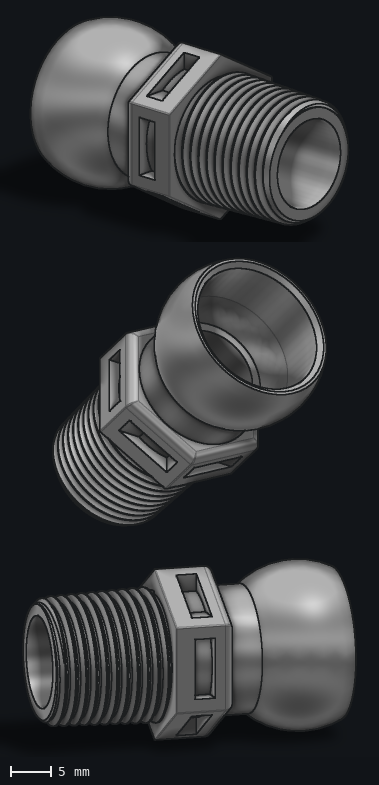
import cadquery as cq
import math


total_length = 38.3
ball_center_x = 4.7
hex_start_x = 15.78
hex_end_x = 23.35

ball_radius = 10.75
neck_radius = 8.15
ball_end_x = ball_center_x + math.sqrt(ball_radius**2 - neck_radius**2)

rim_radius = 9.25
rim_chamfer_length = 0.57
cavity_radius = 8.58
cavity_straight_end_x = 7.77
cavity_floor_radius = 6.95
bore_radius = 5.82

across_flats = 19.0
front_round = 1.2
corner_round = 0.23
back_round = 0.1

pocket_start_x = 18.25
pocket_width = 2.6
side_pocket_length = 7.65
corner_pocket_y = 1.23
corner_pocket_z = 6.3

core_start_x = 20.7
core_overrun = 2.3
root_radius_at_nut = 7.75
root_radius_at_end = 7.28
thread_depth = 0.8
last_crest_x = 37.6
first_crest_x = 24.32
turns_between_crests = 10
pitch = (last_crest_x - first_crest_x) / turns_between_crests
base_half_width = 0.6
crest_half_width = 0.08
thread_overlap = 0.15
end_chamfer_length = 1.55
end_chamfer_height = 1.35
thread_taper = (root_radius_at_nut - root_radius_at_end) / (total_length - hex_end_x)


def thread_root_radius(x):
    """Root radius of the tapered thread at a position along the axis."""
    return root_radius_at_end + thread_taper * (total_length - x)


def make_ball_and_neck():
    """Solid ball and neck, with the neck running on through the nut."""
    ball_rim_radius = math.sqrt(ball_radius**2 - ball_center_x**2)
    return (
        cq.Workplane("XY")
        .moveTo(0, 0)
        .lineTo(0, ball_rim_radius)
        .threePointArc((ball_center_x, ball_radius), (ball_end_x, neck_radius))
        .lineTo(hex_end_x, neck_radius)
        .lineTo(hex_end_x, 0)
        .close()
        .revolve(360, (0, 0, 0), (1, 0, 0))
    )


def make_bore():
    """Chamfered mouth, straight cavity, rounded seat ending under the neck and through bore."""
    return (
        cq.Workplane("XY")
        .moveTo(0, 0)
        .lineTo(0, rim_radius)
        .lineTo(rim_chamfer_length, cavity_radius)
        .lineTo(cavity_straight_end_x, cavity_radius)
        .tangentArcPoint((ball_end_x, cavity_floor_radius), relative=False)
        .lineTo(ball_end_x, bore_radius)
        .lineTo(total_length, bore_radius)
        .lineTo(total_length, 0)
        .close()
        .revolve(360, (0, 0, 0), (1, 0, 0))
    )


def make_pocket_cutter():
    """Straight pockets on the Y flats and stepped ones on the four slanted flats."""
    reach = across_flats
    slot = cq.Workplane("YZ", origin=(pocket_start_x, 0, 0))
    cutter = slot.rect(2 * reach, side_pocket_length).extrude(pocket_width)
    for y_sign in (-1, 1):
        for z_sign in (-1, 1):
            corner = slot.moveTo(y_sign * corner_pocket_y, z_sign * corner_pocket_z).lineTo(
                y_sign * reach, z_sign * corner_pocket_z
            )
            corner = corner.lineTo(y_sign * reach, z_sign * reach)
            corner = corner.lineTo(y_sign * corner_pocket_y, z_sign * reach).close()
            cutter = cutter.union(corner.extrude(pocket_width))
    return cutter.cut(slot.circle(neck_radius).extrude(pocket_width))


def make_nut():
    """Hexagon with corners at +Z and -Z, rounded edges and a pocket in each flat."""
    across_corners = across_flats / math.cos(math.radians(30))
    nut = (
        cq.Workplane("YZ", origin=(hex_start_x, 0, 0))
        .transformed(rotate=(0, 0, 90))
        .polygon(6, across_corners)
        .extrude(hex_end_x - hex_start_x)
    )
    nut = nut.faces("<X").edges().fillet(front_round)
    nut = nut.edges("|X").fillet(corner_round)
    nut = nut.faces(">X").edges().fillet(back_round)
    return nut.cut(make_pocket_cutter())


def make_thread_core():
    """Solid cone under the thread ridge."""
    core_end_x = total_length + core_overrun
    return (
        cq.Workplane("XY")
        .moveTo(core_start_x, 0)
        .lineTo(core_start_x, thread_root_radius(core_start_x))
        .lineTo(core_end_x, thread_root_radius(core_end_x))
        .lineTo(core_end_x, 0)
        .close()
        .revolve(360, (0, 0, 0), (1, 0, 0))
    )


def make_thread_ridge():
    """Right-handed ridge, swept from one turn past the last crest back into the nut."""
    start_x = last_crest_x + pitch
    start_root = thread_root_radius(start_x)
    base_radius = start_root - thread_overlap
    crest_radius = start_root + thread_depth
    sweep_length = pitch * (turns_between_crests + 2)
    helix = cq.Wire.makeHelix(
        pitch, sweep_length, start_root, angle=math.degrees(math.atan(thread_taper))
    )
    ridge = (
        cq.Workplane("XZ")
        .polyline([
            (base_radius, -base_half_width),
            (crest_radius, -crest_half_width),
            (crest_radius, crest_half_width),
            (base_radius, base_half_width),
        ])
        .close()
        .sweep(cq.Workplane(obj=helix), isFrenet=True)
    )
    return ridge.rotate((0, 0, 0), (0, 1, 0), -90).translate((start_x, 0, 0))


def make_thread_envelope():
    """Cylinder that ends the thread square at the free end, with a chamfer down to the root."""
    envelope_radius = root_radius_at_end + end_chamfer_height
    return (
        cq.Workplane("XY")
        .moveTo(core_start_x, 0)
        .lineTo(core_start_x, envelope_radius)
        .lineTo(total_length - end_chamfer_length, envelope_radius)
        .lineTo(total_length, root_radius_at_end)
        .lineTo(total_length, 0)
        .close()
        .revolve(360, (0, 0, 0), (1, 0, 0))
    )


threaded_end = make_thread_core().union(make_thread_ridge()).intersect(make_thread_envelope())
result = threaded_end.union(make_nut()).union(make_ball_and_neck()).cut(make_bore())